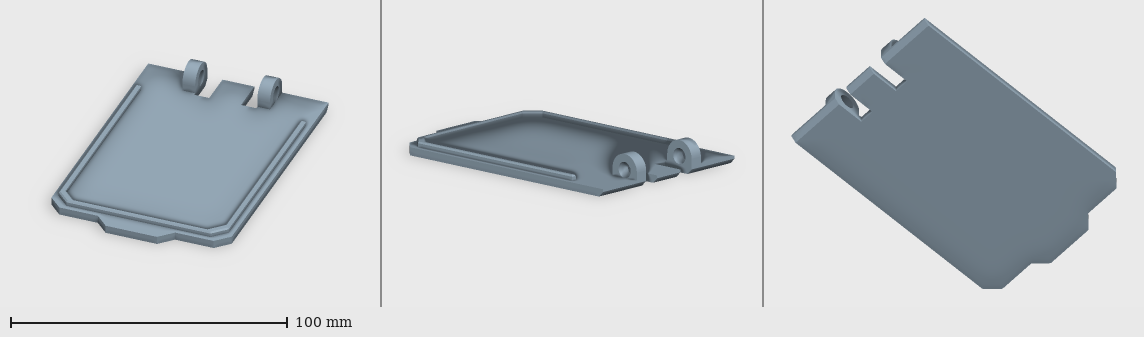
import cadquery as cq

plate_width = 70.0
total_length = 105.0
corner_cut = 5.0
tab_length = 5.0
tab_tip_width = 20.0
plate_thickness = 3.0
rear_chamfer = 2.0
body_length = total_length - tab_length
front_y = -body_length / 2
rear_y = body_length / 2

lug_diameter = 12.0
lug_bore = 6.0
lug_thickness = 4.9
slot_width = 5.9
slot_length = 13.0
middle_tongue_width = 12.4
lug_radius = lug_diameter / 2
lug_inner_x = middle_tongue_width / 2 + slot_width

rim_inset = 2.0
rim_wall = 2.0
rim_height = 2.0
rim_bevel = 0.5
rim_rear_gap = 17.0
rim_rear_y = rear_y - rim_rear_gap


def cut_corner_outline(inset, back_y):
    """Plate outline moved inward, keeping the same corner cuts, up to back_y."""
    side = plate_width / 2 - inset
    front = front_y + inset
    return [
        (-side, back_y),
        (-side, front + corner_cut),
        (-side + corner_cut, front),
        (side - corner_cut, front),
        (side, front + corner_cut),
        (side, back_y),
    ]


def prism(points, base_z, height):
    return cq.Workplane("XY", origin=(0, 0, base_z)).polyline(points).close().extrude(height)


def make_plate():
    body = prism(cut_corner_outline(0, rear_y), 0, plate_thickness)
    body = body.faces(">Y").edges("<Z").chamfer(rear_chamfer)
    tip = tab_tip_width / 2
    root = tip + tab_length
    tab_points = [
        (-root, front_y),
        (-tip, front_y - tab_length),
        (tip, front_y - tab_length),
        (root, front_y),
    ]
    return body.union(prism(tab_points, 0, plate_thickness))


def make_rim():
    outer = prism(cut_corner_outline(rim_inset, rim_rear_y), plate_thickness, rim_height)
    inner = prism(cut_corner_outline(rim_inset + rim_wall, rim_rear_y), plate_thickness, rim_height)
    return outer.cut(inner).faces(">Z").edges().chamfer(rim_bevel)


def make_slot(side):
    center_x = side * (lug_inner_x - slot_width / 2)
    return (
        cq.Workplane("XY")
        .center(center_x, rear_y - slot_length / 2)
        .rect(slot_width, slot_length)
        .extrude(plate_thickness)
    )


def make_lug(side):
    """Round-topped lug with a pin bore, standing on the plate flush with its rear edge."""
    start_x = lug_inner_x if side > 0 else -lug_inner_x - lug_thickness
    axis_y = rear_y - lug_radius
    profile = cq.Workplane("YZ", origin=(start_x, axis_y, 0))
    lug = (
        profile.moveTo(-lug_radius, plate_thickness)
        .lineTo(-lug_radius, lug_radius)
        .threePointArc((0, lug_diameter), (lug_radius, lug_radius))
        .lineTo(lug_radius, plate_thickness)
        .close()
        .extrude(lug_thickness)
    )
    bore = profile.center(0, lug_radius).circle(lug_bore / 2).extrude(lug_thickness)
    return lug.cut(bore)


result = make_plate().union(make_rim())
for side in (-1, 1):
    result = result.cut(make_slot(side)).union(make_lug(side))